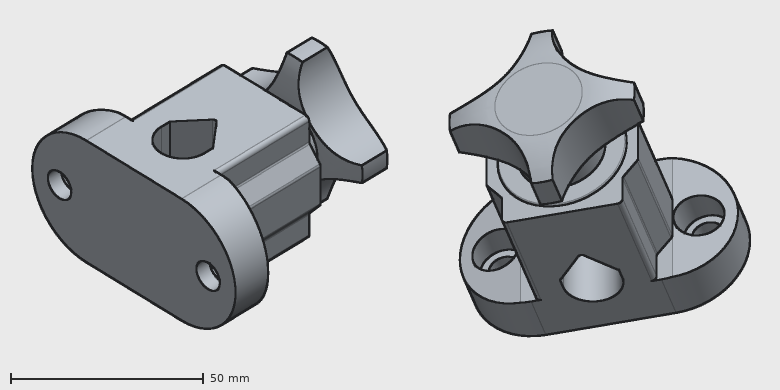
import cadquery as cq
import math

length = 75.0
height = 39.9
plate_thickness = 14.55
plate_edge_thickness = 12.0

mount_hole_offset = 27.4
mount_hole_diameter = 8.6
counterbore_diameter = 13.2
counterbore_floor = 4.8

block_end = 48.15
block_half_width = 20.5
shoulder_half_width = 16.3
rib_half_height = 6.45
step_half_height = 11.55
block_corner_radius = 1.35
rib_edge_radius = 1.2
step_root_radius = 1.0

seat_radius = 17.4
seat_height = 0.5
seat_edge_radius = 0.4
seat_end = block_end + seat_height

rod_radius = 7.95
rod_center = 18.0
teardrop_shoulder = 21.15
teardrop_apex = 30.45
apex_radius = 1.0

stem_radius = 11.8
knob_start = 55.65
knob_end = 71.5
knob_radius = 25.0
wing_tip_width = 5.8
wing_tip_thickness = 9.15
scallop_center = knob_radius
scallop_radius = scallop_center - wing_tip_width / 2


def disc(radius, start, end, x=0.0, z=0.0):
    """Cylinder along Y between two depths."""
    return cq.Workplane(cq.Solid.makeCylinder(
        radius, end - start, cq.Vector(x, start, z), cq.Vector(0, 1, 0)))


def make_plate():
    oval = (
        cq.Workplane("XZ")
        .slot2D(length, height)
        .extrude(-plate_thickness)
    )
    side_profile = (
        cq.Workplane("XY")
        .moveTo(-length / 2, 0)
        .lineTo(length / 2, 0)
        .lineTo(length / 2, plate_edge_thickness)
        .lineTo(block_half_width, plate_thickness)
        .lineTo(-block_half_width, plate_thickness)
        .lineTo(-length / 2, plate_edge_thickness)
        .close()
        .extrude(height / 2, both=True)
    )
    return oval.intersect(side_profile)


def round_block_edges(block, half_width, half_height, radius):
    """Round the four edges along Y at (+-half_width, +-half_height)."""
    middle = block_end / 2
    for x in (-half_width, half_width):
        for z in (-half_height, half_height):
            block = block.edges(cq.selectors.NearestToPointSelector((x, middle, z))).fillet(radius)
    return block


def make_block():
    quarter = [
        (block_half_width, rib_half_height),
        (shoulder_half_width, step_half_height),
        (shoulder_half_width, height / 2),
    ]
    upper = quarter + [(-x, z) for x, z in reversed(quarter)]
    lower = [(-x, -z) for x, z in upper]
    block = cq.Workplane("XZ").polyline(upper + lower).close().extrude(-block_end)
    block = round_block_edges(block, block_half_width, rib_half_height, rib_edge_radius)
    block = round_block_edges(block, shoulder_half_width, step_half_height, step_root_radius)
    return round_block_edges(block, shoulder_half_width, height / 2, block_corner_radius)


def make_rod_hole():
    teardrop = (
        cq.Workplane("XY")
        .moveTo(-rod_radius, rod_center)
        .threePointArc((0, rod_center - rod_radius), (rod_radius, rod_center))
        .lineTo(rod_radius, teardrop_shoulder)
        .lineTo(0, teardrop_apex)
        .lineTo(-rod_radius, teardrop_shoulder)
        .close()
        .extrude(height / 2, both=True)
    )
    return teardrop.edges("|Z and >Y").fillet(apex_radius)


def make_clamp():
    clamp = make_plate().union(make_block())
    seat = disc(seat_radius, block_end, seat_end).edges(">Y").fillet(seat_edge_radius)
    clamp = clamp.union(seat)
    clamp = clamp.cut(make_rod_hole())
    for x in (-mount_hole_offset, mount_hole_offset):
        clamp = clamp.cut(disc(mount_hole_diameter / 2, 0, plate_thickness, x))
        clamp = clamp.cut(disc(counterbore_diameter / 2, counterbore_floor, plate_thickness, x))
    return clamp


def make_knob():
    middle = (knob_start + knob_end) / 2
    half_thickness = (knob_end - knob_start) / 2
    run = knob_radius - stem_radius
    drop = half_thickness - wing_tip_thickness / 2
    crown_radius = (run ** 2 + drop ** 2) / (2 * drop)
    mid_run = run / 2
    mid_drop = crown_radius - math.sqrt(crown_radius ** 2 - mid_run ** 2)
    mid_radius = stem_radius + mid_run
    tip_start = middle - wing_tip_thickness / 2
    tip_end = middle + wing_tip_thickness / 2
    knob = (
        cq.Workplane("XY")
        .moveTo(0, seat_end)
        .lineTo(stem_radius, seat_end)
        .lineTo(stem_radius, knob_start)
        .threePointArc((mid_radius, knob_start + mid_drop), (knob_radius, tip_start))
        .lineTo(knob_radius, tip_end)
        .threePointArc((mid_radius, knob_end - mid_drop), (stem_radius, knob_end))
        .lineTo(0, knob_end)
        .close()
        .revolve(360, (0, 0, 0), (0, 1, 0))
    )
    for x in (-scallop_center, scallop_center):
        for z in (-scallop_center, scallop_center):
            knob = knob.cut(disc(scallop_radius, knob_start, knob_end, x, z))
    return knob


clamp = make_clamp()
knob = make_knob()
result = cq.Compound.makeCompound([clamp.val(), knob.val()])